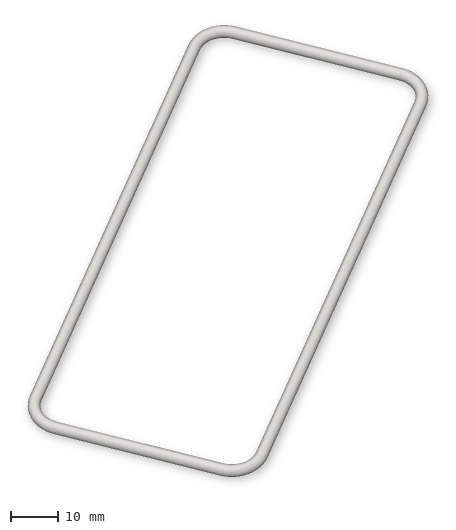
import cadquery as cq

outer_width = 53.4
outer_length = 121.9
wire_diameter = 2.7
outer_corner_radius = 8.1
quarter_turn = 90

wire_radius = wire_diameter / 2
path_half_width = outer_width / 2 - wire_radius
path_half_length = outer_length / 2 - wire_radius
bend_radius = outer_corner_radius - wire_radius
half_straight_x = path_half_width - bend_radius
half_straight_y = path_half_length - bend_radius


def straight_x(y):
    """Round bar along X, centred at the given Y."""
    bar = cq.Workplane("YZ", origin=(-half_straight_x, y, 0))
    return bar.circle(wire_radius).extrude(2 * half_straight_x)


def straight_y(x):
    """Round bar along Y, centred at the given X."""
    bar = cq.Workplane("XZ", origin=(x, half_straight_y, 0))
    return bar.circle(wire_radius).extrude(2 * half_straight_y)


def corner_bend(x_side, y_side, start_angle):
    """Quarter-torus bend, turned about the corner centre by start_angle."""
    quarter = (
        cq.Workplane("XZ")
        .center(bend_radius, 0)
        .circle(wire_radius)
        .revolve(quarter_turn, (-bend_radius, 0), (-bend_radius, 1))
        .rotate((0, 0, 0), (0, 0, 1), start_angle)
    )
    return quarter.translate((x_side * half_straight_x, y_side * half_straight_y, 0))


corners = [(1, 1), (-1, 1), (-1, -1), (1, -1)]

result = straight_x(path_half_length)
for index, (x_side, y_side) in enumerate(corners):
    result = result.union(corner_bend(x_side, y_side, quarter_turn * index))
for side in (1, -1):
    result = result.union(straight_y(side * path_half_width))
result = result.union(straight_x(-path_half_length))